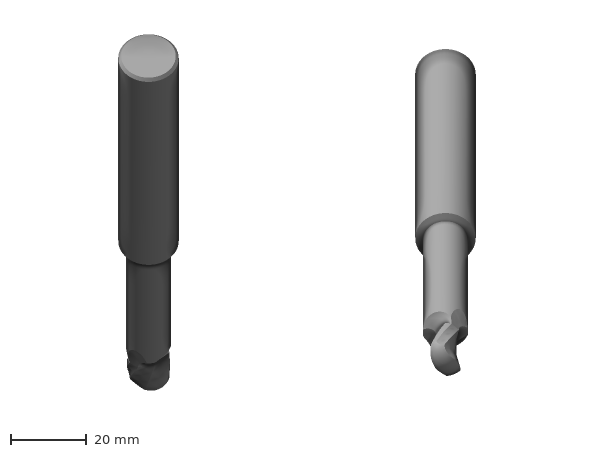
import cadquery as cq
import math


total_length = 140.0
shank_radius = 8.0
shank_bottom = 60.0
shank_chamfer = 0.8
shoulder_height = 0.9
neck_radius = 6.0

head_length = 12.0
head_radius = neck_radius
twist_per_mm = 5.2
half_turn = 180.0
wheel_width = 4 * neck_radius

relief_direction = 105.0
relief_distance = 4.95
heel_direction = 160.0
heel_distance = 2.8

half_blade_flats = [
    (0.0, 2.95),
    (67.0, 5.6),
    (relief_direction, relief_distance),
    (heel_direction, heel_distance),
]

half_runouts = [
    (18.0, 3.0, 17.6),
    (relief_direction, relief_distance, 20.2),
    (heel_direction, heel_distance, 16.2),
]


def both_halves(half):
    """The entries of one half followed by the same entries turned by half a turn."""
    return [
        (direction + turn, *rest)
        for turn in (0.0, half_turn)
        for direction, *rest in half
    ]


def corner_between(flat, next_flat):
    """Point where the lines of two neighbouring blade flats cross."""
    angle, next_angle = math.radians(flat[0]), math.radians(next_flat[0])
    distance, next_distance = flat[1], next_flat[1]
    spread = math.sin(next_angle - angle)
    x = (distance * math.sin(next_angle) - next_distance * math.sin(angle)) / spread
    y = (next_distance * math.cos(angle) - distance * math.cos(next_angle)) / spread
    return (x, y)


def make_head():
    """Twisted two-lobed blade trimmed to a ball-nosed cylinder."""
    flats = both_halves(half_blade_flats)
    corners = [
        corner_between(flat, flats[(index + 1) % len(flats)])
        for index, flat in enumerate(flats)
    ]
    twist = twist_per_mm * head_length
    blade = (
        cq.Workplane("XY")
        .polyline(corners)
        .close()
        .twistExtrude(head_length, twist)
        .rotate((0, 0, 0), (0, 0, 1), -twist)
    )
    ball_nose = (
        cq.Workplane("XZ")
        .moveTo(0, 0)
        .radiusArc((head_radius, head_radius), -head_radius)
        .lineTo(head_radius, head_length)
        .lineTo(0, head_length)
        .close()
        .revolve()
    )
    return blade.intersect(ball_nose)


def make_grinding_wheel(direction, distance, runout_height):
    """Cylinder tangent to its flat at the head joint, leaving the neck at the runout height."""
    depth = neck_radius - distance
    rise = runout_height - head_length
    wheel_radius = (depth**2 + rise**2) / (2 * depth)
    return (
        cq.Workplane("XZ")
        .center(distance + wheel_radius, head_length)
        .circle(wheel_radius)
        .extrude(wheel_width / 2, both=True)
        .rotate((0, 0, 0), (0, 0, 1), direction)
    )


def make_shank():
    """Shank with a coned shoulder, and a thinner neck whose end carries the flute runouts."""
    shank = (
        cq.Workplane("XZ")
        .moveTo(0, shank_bottom)
        .lineTo(neck_radius, shank_bottom)
        .lineTo(shank_radius, shank_bottom + shoulder_height)
        .lineTo(shank_radius, total_length - shank_chamfer)
        .lineTo(shank_radius - shank_chamfer, total_length)
        .lineTo(0, total_length)
        .close()
        .revolve()
    )
    neck = (
        cq.Workplane("XY", origin=(0, 0, head_length))
        .circle(neck_radius)
        .extrude(shank_bottom - head_length)
    )
    for runout in both_halves(half_runouts):
        neck = neck.cut(make_grinding_wheel(*runout))
    return shank.union(neck)


head = make_head()
shank = make_shank()

result = cq.Compound.makeCompound([shank.val(), head.val()])